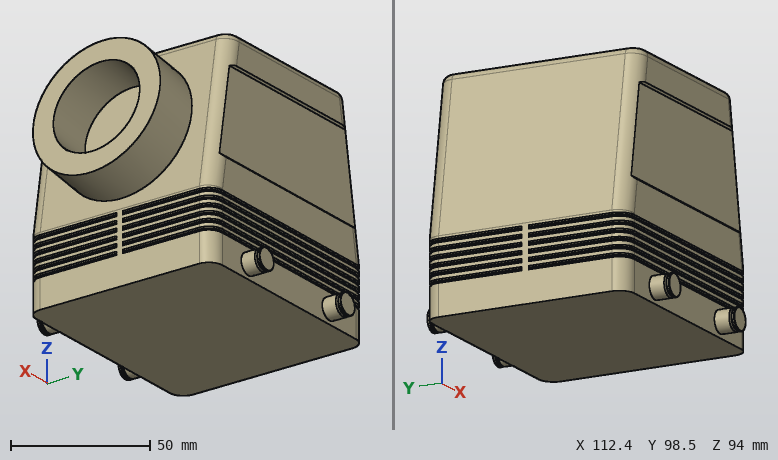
import cadquery as cq
import math

body_length = 93.7
body_width = 82.4
body_height = 94.0
taper_start = 30.5
taper_angle = 9.5
corner_radius = 6.0
top_fillet = 3.0

groove_count = 6
groove_pitch = 3.0
groove_height = 1.5
groove_depth = 0.51
groove_wall_angle = 45
lowest_groove = 12.7
groove_break = 2.9

panel_bottom = 43.1
panel_top = 81.0
panel_depth = 0.8

collar_diameter = 56.1
bore_diameter = 38.0
collar_length = 19.7
collar_up_slope = 32.4

pin_diameter = 9.0
pin_spacing = 49.5
pin_height = 6.1
pin_span = 98.5
neck_diameter = 5.5
neck_length = 0.7
head_thickness = 1.5
head_front_chamfer = 0.2
head_back_chamfer = 0.5

half_length = body_length / 2
half_width = body_width / 2
taper = math.radians(taper_angle)


def hood_body():
    """Solid wedge-topped block with rounded corners and top rim."""
    half_top = half_length - (body_height - taper_start) * math.tan(taper)
    block = (
        cq.Workplane("XZ")
        .polyline([
            (-half_length, 0),
            (half_length, 0),
            (half_length, taper_start),
            (half_top, body_height),
            (-half_top, body_height),
            (-half_length, taper_start),
        ])
        .close()
        .extrude(half_width, both=True)
    )
    corners = block.edges("(<Y or >Y) and (not #Z)")
    return corners.fillet(corner_radius).faces(">Z").edges().fillet(top_fillet)


def skirt_slice(z, height, inset, flare_angle):
    """Slice of the skirt outline, inset all round; a positive angle narrows it upwards."""
    return (
        cq.Workplane("XY", origin=(0, 0, z))
        .sketch()
        .rect(body_length - 2 * inset, body_width - 2 * inset)
        .vertices()
        .fillet(corner_radius - inset)
        .finalize()
        .extrude(height, taper=flare_angle)
    )


def groove(z):
    """Ring with 45 degree walls and a flat floor, interrupted at the middle of both ends."""
    floor_height = groove_height - 2 * groove_depth
    lower_wall = skirt_slice(z, groove_depth, 0, groove_wall_angle)
    floor = skirt_slice(z + groove_depth, floor_height, groove_depth, 0)
    upper_wall = skirt_slice(z + groove_depth + floor_height, groove_depth, groove_depth, -groove_wall_angle)
    core = lower_wall.union(floor).union(upper_wall)
    bridge = cq.Workplane("XY", origin=(0, 0, z)).box(
        body_length, groove_break, groove_height, centered=(True, True, False)
    )
    return skirt_slice(z, groove_height, 0, 0).cut(core).cut(bridge)


def side_panels():
    """Full-length shallow cuts with 45 degree upper and lower edges on both sides."""
    cutters = (
        cq.Workplane("YZ")
        .polyline([
            (half_width, panel_bottom),
            (half_width, panel_top),
            (half_width - panel_depth, panel_top - panel_depth),
            (half_width - panel_depth, panel_bottom + panel_depth),
        ])
        .close()
        .extrude(half_length, both=True)
    )
    return cutters.union(cutters.mirror("XZ"))


def collar_plane():
    """Plane on the sloping +X wall, facing outwards, at the collar centre."""
    centre_x = half_length - collar_up_slope * math.sin(taper)
    centre_z = taper_start + collar_up_slope * math.cos(taper)
    return cq.Plane(
        origin=(centre_x, 0, centre_z),
        xDir=(0, 1, 0),
        normal=(math.cos(taper), 0, math.sin(taper)),
    )


def collar():
    """Hollow collar standing on the sloping wall, where its bore ends."""
    return (
        cq.Workplane(collar_plane())
        .circle(collar_diameter / 2)
        .circle(bore_diameter / 2)
        .extrude(collar_length)
    )


def pin_pair(x):
    """Locking pins at one X position: a bar through the body, necked behind each head."""
    half_span = pin_span / 2
    shoulder = half_span - head_thickness - neck_length
    plane = cq.Workplane("XZ", origin=(x, 0, pin_height))
    bar = plane.circle(pin_diameter / 2).extrude(shoulder, both=True)
    neck = plane.circle(neck_diameter / 2).extrude(half_span - head_thickness, both=True)
    head = (
        plane.workplane(offset=half_span - head_thickness)
        .circle(pin_diameter / 2)
        .extrude(head_thickness)
        .faces("<Y")
        .edges()
        .chamfer(head_front_chamfer)
        .faces(">Y")
        .edges()
        .chamfer(head_back_chamfer)
    )
    return bar.union(neck).union(head).union(head.mirror("XZ"))


result = hood_body().cut(side_panels())

for i in range(groove_count):
    result = result.cut(groove(lowest_groove + i * groove_pitch))

result = result.union(collar())

for x in (-pin_spacing / 2, pin_spacing / 2):
    result = result.union(pin_pair(x))